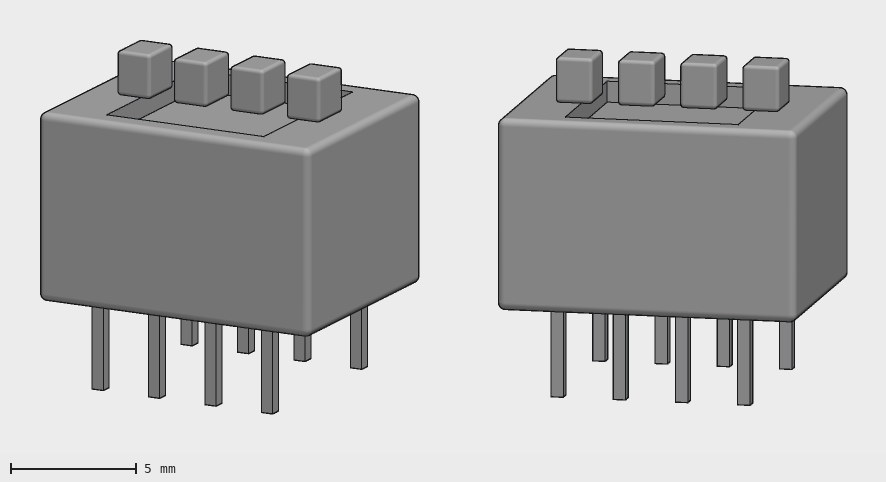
import cadquery as cq

housing_length = 12.19
housing_width = 9.65
housing_height = 7.77
housing_edge_radius = 0.3

recess_length = 7.06
recess_width = 7.62
recess_depth = 0.85

pitch = 2.54
positions = 4
row_spacing = 7.62
pin_side = 0.51
pin_length = 3.56

lever_length = 1.5
lever_width = 2.0
lever_height = 1.83
lever_edge_radius = 0.15

position_offsets = [(i - (positions - 1) / 2) * pitch for i in range(positions)]


def make_block():
    """Rounded housing block with its bottom face at Z = 0 and the recess in its top."""
    block = (
        cq.Workplane("XY")
        .box(housing_length, housing_width, housing_height, centered=(True, True, False))
        .edges()
        .fillet(housing_edge_radius)
    )
    recess = (
        cq.Workplane("XY")
        .workplane(offset=housing_height - recess_depth)
        .rect(recess_length, recess_width)
        .extrude(recess_depth)
    )
    return block.cut(recess)


def make_pins():
    """Square pins in two rows, hanging from the bottom face."""
    pin_points = [(x, side * row_spacing / 2) for x in position_offsets for side in (-1, 1)]
    return cq.Workplane("XY").pushPoints(pin_points).rect(pin_side, pin_side).extrude(-pin_length)


def make_lever(x):
    """Lever rounded on all edges, its bottom level with the top face of the housing."""
    return (
        cq.Workplane("XY")
        .box(lever_length, lever_width, lever_height, centered=(True, True, False))
        .edges()
        .fillet(lever_edge_radius)
        .translate((x, 0, housing_height))
    )


def make_housing():
    """Block with its pins and the two end levers, which rest on the rim of the recess."""
    housing = make_block().union(make_pins())
    for x in (position_offsets[0], position_offsets[-1]):
        housing = housing.union(make_lever(x))
    return housing


housing = make_housing()
inner_levers = [make_lever(x) for x in position_offsets[1:-1]]

result = cq.Compound.makeCompound([housing.val(), *[lever.val() for lever in inner_levers]])